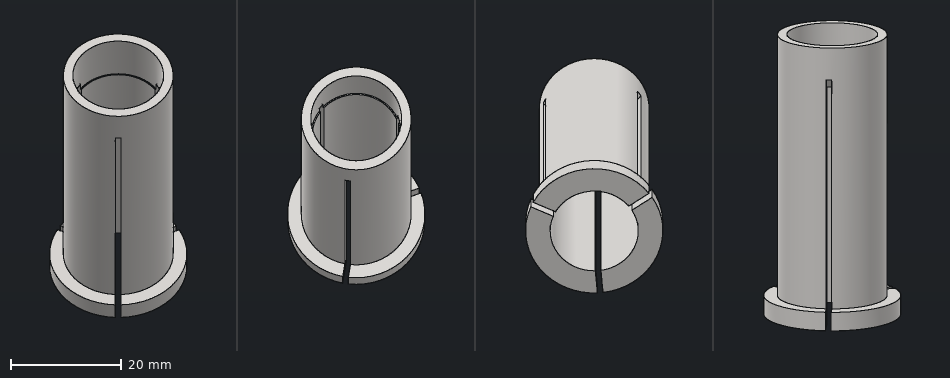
import cadquery as cq
import math

total_height = 52.5
flange_diameter = 25.0
flange_height = 3.5
sleeve_diameter = 20.0

bore_diameter = 16.0
counterbore_diameter = 16.5
counterbore_depth = 9.0

slot_count = 3
slot_width = 1.0
solid_collar_height = 6.0
first_slot_angle = 90
slot_end_angle = 45


def flanged_sleeve():
    flange = cq.Workplane("XY").circle(flange_diameter / 2).extrude(flange_height)
    sleeve = cq.Workplane("XY").circle(sleeve_diameter / 2).extrude(total_height)
    return flange.union(sleeve)


def stepped_bore():
    bore = cq.Workplane("XY").circle(bore_diameter / 2).extrude(total_height)
    counterbore = (
        cq.Workplane("XY")
        .workplane(offset=total_height - counterbore_depth)
        .circle(counterbore_diameter / 2)
        .extrude(counterbore_depth)
    )
    return bore.union(counterbore)


def radial_slot(angle):
    """A slot open at the bottom whose end slopes down from the sleeve surface towards the axis."""
    sleeve_radius = sleeve_diameter / 2
    slot_top = total_height - solid_collar_height
    slot_top_at_axis = slot_top - sleeve_radius * math.tan(math.radians(slot_end_angle))
    return (
        cq.Workplane("XZ")
        .lineTo(flange_diameter, 0)
        .lineTo(flange_diameter, slot_top)
        .lineTo(sleeve_radius, slot_top)
        .lineTo(0, slot_top_at_axis)
        .close()
        .extrude(slot_width / 2, both=True)
        .rotate((0, 0, 0), (0, 0, 1), angle)
    )


result = flanged_sleeve().cut(stepped_bore())
for index in range(slot_count):
    result = result.cut(radial_slot(first_slot_angle + index * 360 / slot_count))